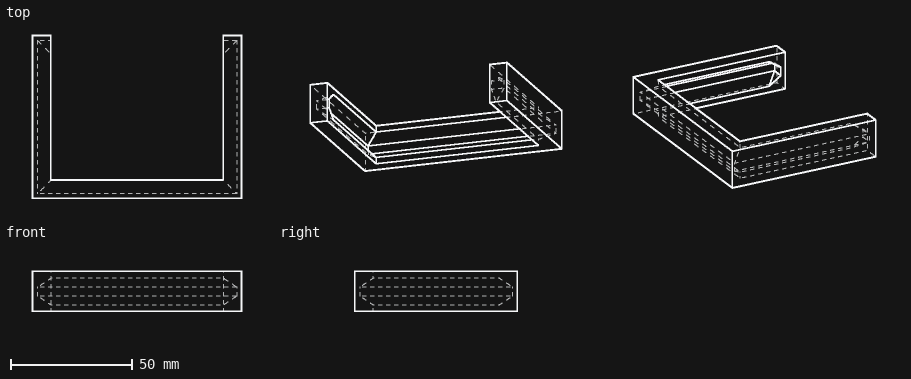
import cadquery as cq

length = 86.15
depth = 67.1
height = 16.5
bar_width = 7.6

outer_wall = 2.1
groove_floor_height = 3.6
groove_mouth_height = 11.0

groove_flare = (groove_mouth_height - groove_floor_height) / 2
floor_half = groove_floor_height / 2


def centered_rectangle(inset, z):
    """Rectangle at level z, set in equally from the four outer sides."""
    return cq.Workplane("XY", origin=(0, 0, z)).rect(length - 2 * inset, depth - 2 * inset)


def flared_side(direction):
    """Half of the groove void that narrows away from the middle plane."""
    return (
        centered_rectangle(outer_wall, direction * floor_half)
        .workplane(offset=direction * groove_flare)
        .rect(length - 2 * bar_width, depth - 2 * bar_width)
        .loft(combine=True)
    )


frame = cq.Workplane("XY").box(length, depth, height)
opening = (
    cq.Workplane("XY")
    .box(length - 2 * bar_width, depth, height)
    .translate((0, bar_width, 0))
)

groove = centered_rectangle(outer_wall, -floor_half).extrude(groove_floor_height)
for direction in (1, -1):
    groove = groove.union(flared_side(direction))

result = frame.cut(opening).cut(groove)